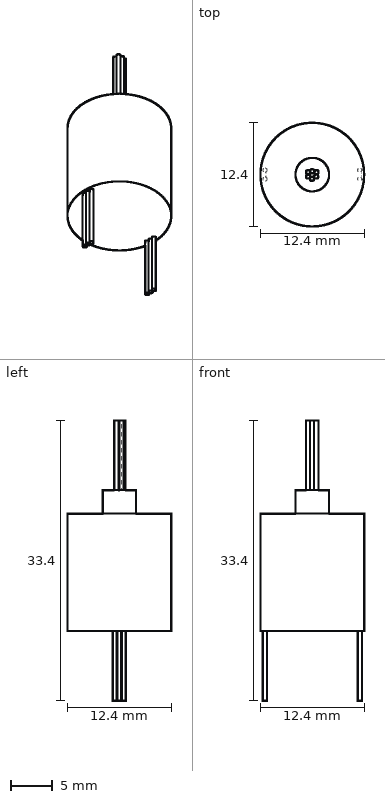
import cadquery as cq

body_diameter = 12.4
body_height = 14.0
collar_diameter = 4.0
collar_height = 2.8

overall_height = 33.4
wire_length = (overall_height - body_height - collar_height) / 2
wire_diameter = 0.5
wire_pitch = 0.55
row_offset = 5.65
middle_wire_shift = 0.05

upper_wire_centres = [
    (-0.5, 0.3),
    (0, 0.4),
    (0.5, 0.3),
    (0.47, -0.25),
    (-0.05, -0.5),
    (-0.5, -0.25),
]

body_bottom = -body_height / 2
body_top = body_height / 2
collar_top = body_top + collar_height


def cylinder(diameter, bottom, height, centres):
    """Upright cylinders of one size standing at the given XY centres."""
    return (
        cq.Workplane("XY")
        .workplane(offset=bottom)
        .pushPoints(centres)
        .circle(diameter / 2)
        .extrude(height)
    )


def lower_row_centres():
    """Two rows of three wires along Y, one near each X side of the body."""
    centres = []
    for side in (-1, 1):
        centres.append((side * row_offset, -wire_pitch))
        centres.append((side * (row_offset + middle_wire_shift), 0))
        centres.append((side * row_offset, wire_pitch))
    return centres


body = cylinder(body_diameter, body_bottom, body_height, [(0, 0)])
collar = cylinder(collar_diameter, body_top, collar_height, [(0, 0)])
upper_wires = cylinder(wire_diameter, collar_top, wire_length, upper_wire_centres)
lower_wires = cylinder(wire_diameter, body_bottom - wire_length, wire_length, lower_row_centres())

result = body.union(collar).union(upper_wires).union(lower_wires)